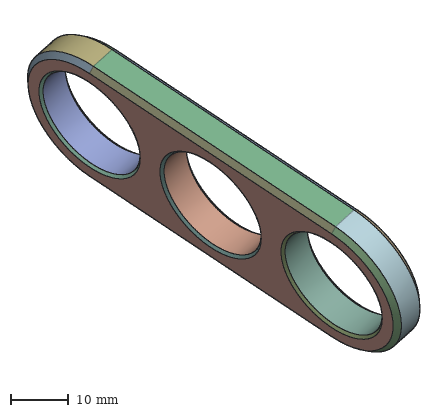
import cadquery as cq

length = 85.0
height = 30.0
thickness = 7.0
edge_chamfer = 1.0

hole_count = 3
hole_diameter = 22.0
hole_chamfer = 0.5
hole_spacing = (length - height) / (hole_count - 1)


def make_plate():
    """Round-ended plate, chamfered around both faces."""
    plate = cq.Workplane("XZ").slot2D(length, height).extrude(thickness / 2, both=True)
    return plate.faces("<Y or >Y").edges().chamfer(edge_chamfer)


def cut_holes(plate):
    """Row of through holes with both rims chamfered."""
    bores = (
        cq.Workplane("XZ")
        .rarray(hole_spacing, height, hole_count, 1)
        .circle(hole_diameter / 2)
        .extrude(thickness / 2, both=True)
    )
    drilled = plate.cut(bores)
    rims = drilled.edges(cq.selectors.RadiusNthSelector(0))
    return rims.chamfer(hole_chamfer)



result = cut_holes(make_plate())